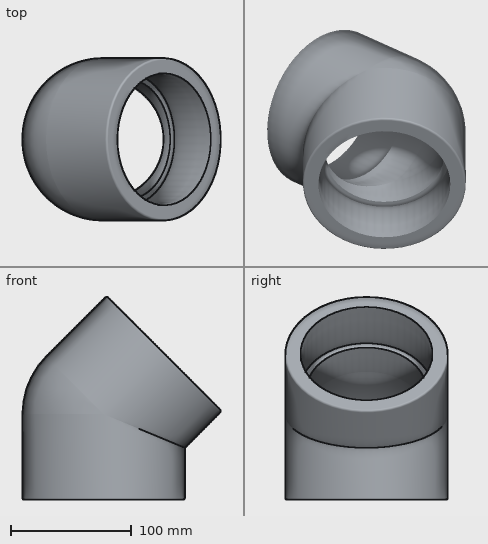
import cadquery as cq

bend_angle = 45
leg_length = 71.0
outer_radius = 67.5
socket_radius = 54.7
socket_depth = 42.5
bore_radius = 49.7
edge_fillet = 1.7

bend_center = (0, 0, leg_length)


def turn_to_upper_leg(lower_leg):
    """Copy a lower-leg solid onto the upper leg, which leans towards +X."""
    axis_end = (0, 1, leg_length)
    return lower_leg.rotate(bend_center, axis_end, 180 + bend_angle)


def elbow_solid(lower_leg, radius):
    """Join both legs with a ball that rounds the outside of the bend."""
    ball = cq.Workplane("XY").sphere(radius).translate(bend_center)
    return lower_leg.union(turn_to_upper_leg(lower_leg)).union(ball)


outer_leg = cq.Workplane("XY").circle(outer_radius).extrude(leg_length)
outer_leg = outer_leg.faces("<Z").edges().fillet(edge_fillet)
body = elbow_solid(outer_leg, outer_radius)

bore_leg = cq.Workplane("XY").circle(bore_radius).extrude(leg_length)
passage = elbow_solid(bore_leg, bore_radius)

socket = cq.Workplane("XY").circle(socket_radius).extrude(socket_depth)

result = body.cut(passage).cut(socket).cut(turn_to_upper_leg(socket))